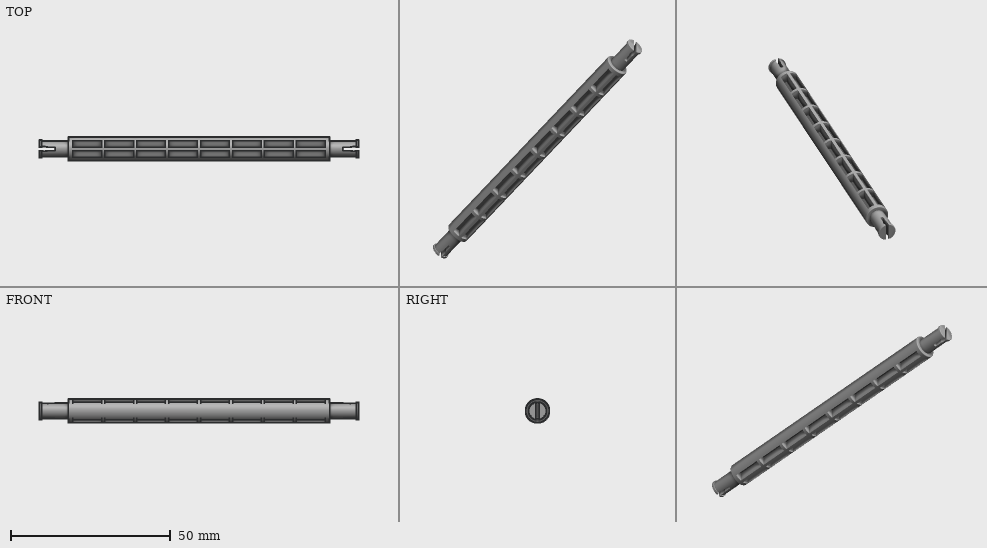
import cadquery as cq

total_length = 100.0
journal_length = 9.1
body_length = total_length - 2 * journal_length

body_diameter = 7.5
body_edge_radius = 0.25
journal_diameter = 5.0
lip_diameter = 5.6
lip_length = 0.8
lip_edge_radius = 0.2

pocket_count = 8
pocket_pitch = 10.0
rib_thickness = 1.0
web_thickness = 1.0
side_wall_thickness = 1.2
pocket_length = pocket_pitch - rib_thickness
pocket_width = body_diameter / 2 - side_wall_thickness - rib_thickness / 2
pocket_depth = (body_diameter - web_thickness) / 2

slot_width = 1.0
slot_length = 5.0
slot_corner_radius = 0.3

relief_width = 1.4
relief_start = 0.5
relief_end = 2.6


def rod(start, length, diameter):
    """Solid cylinder along X from the given start."""
    return cq.Workplane("YZ", origin=(start, 0, 0)).circle(diameter / 2).extrude(length)


def make_body():
    """Central barrel with rounded end edges."""
    barrel = rod(journal_length, body_length, body_diameter)
    return barrel.faces("<X or >X").edges().fillet(body_edge_radius)


def make_slot():
    """Vertical through slot with rounded inner corners and a bowed relief."""
    slot = (
        cq.Workplane("XY")
        .box(slot_length, slot_width, lip_diameter, centered=(False, True, True))
        .edges(">X and |Z")
        .fillet(slot_corner_radius)
    )
    relief_middle = (relief_start + relief_end) / 2
    relief = (
        cq.Workplane("XY", origin=(0, 0, -lip_diameter / 2))
        .moveTo(relief_start, slot_width / 2)
        .threePointArc((relief_middle, relief_width / 2), (relief_end, slot_width / 2))
        .lineTo(relief_end, -slot_width / 2)
        .threePointArc((relief_middle, -relief_width / 2), (relief_start, -slot_width / 2))
        .close()
        .extrude(lip_diameter)
    )
    return slot.union(relief)


def make_journal():
    """Left journal, from X = 0 to the body, with a snap lip and an open slot."""
    pin = rod(0, journal_length, journal_diameter)
    lip = rod(0, lip_length, lip_diameter).edges("<X").fillet(lip_edge_radius)
    return pin.union(lip).cut(make_slot())


def make_pockets():
    """Two rows of pockets above and below the horizontal web."""
    first_center = (total_length - (pocket_count - 1) * pocket_pitch) / 2
    row_offset = (rib_thickness + pocket_width) / 2
    center_height = (web_thickness + pocket_depth) / 2
    pocket_centers = [
        (first_center + index * pocket_pitch, side * row_offset)
        for index in range(pocket_count)
        for side in (-1, 1)
    ]
    upper = (
        cq.Workplane("XY", origin=(0, 0, center_height))
        .pushPoints(pocket_centers)
        .box(pocket_length, pocket_width, pocket_depth)
    )
    return upper.union(upper.mirror("XY"))


left_journal = make_journal()
right_journal = left_journal.mirror("YZ", (total_length / 2, 0, 0))
roller = make_body().union(left_journal).union(right_journal).cut(make_pockets())

result = roller.translate((-total_length / 2, 0, 0))